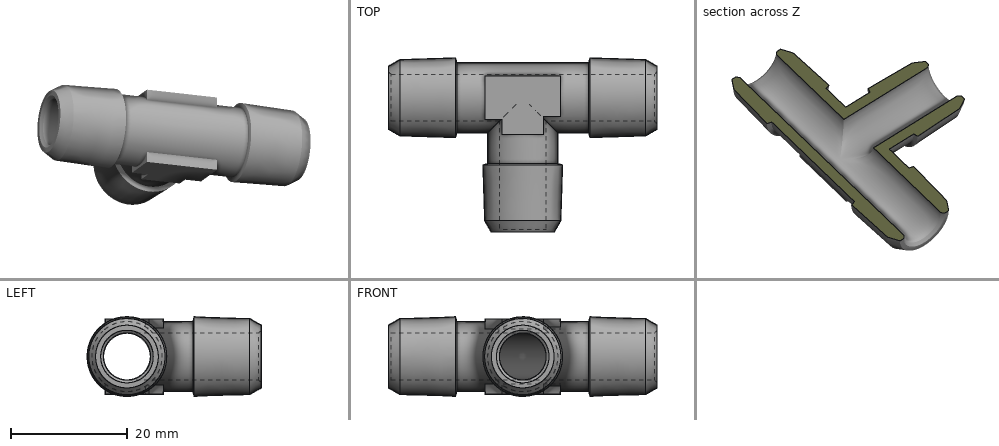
import cadquery as cq
import math


arm_length = 23.0
body_radius = 12.0 / 2
bore_radius = 8.0 / 2
bore_chamfer = 0.5

shoulder_position = 11.5
shoulder_radius = 6.82
shoulder_angle = 15.0
taper_per_length = 1 / 32
tip_chamfer_length = 2.0
tip_chamfer_angle = 30.0

pad_half_height = 6.45
pad_half_width = 6.45
pad_half_depth = 3.75
pad_stem_half_width = 3.53
pad_stem_reach = 6.25
pad_right_reach = 3.2


def collar_profile():
    """Half section of one arm; local x is the radius and local y runs along the arm."""
    tip_start = arm_length - tip_chamfer_length
    tip_start_radius = shoulder_radius - taper_per_length * (tip_start - shoulder_position)
    tip_radius = tip_start_radius - tip_chamfer_length * math.tan(math.radians(tip_chamfer_angle))
    shoulder_step = shoulder_radius - body_radius
    shoulder_start = shoulder_position - shoulder_step * math.tan(math.radians(shoulder_angle))
    return [
        (0, 0),
        (body_radius, 0),
        (body_radius, shoulder_start),
        (shoulder_radius, shoulder_position),
        (tip_start_radius, tip_start),
        (tip_radius, arm_length),
        (0, arm_length),
    ]


def bore_profile():
    """Half section of one bore with its countersunk mouth."""
    return [
        (0, 0),
        (bore_radius, 0),
        (bore_radius, arm_length - bore_chamfer),
        (bore_radius + bore_chamfer, arm_length),
        (0, arm_length),
    ]


def revolve_along_y(profile):
    return cq.Workplane("XY").polyline(profile).close().revolve(360, (0, 0, 0), (0, 1, 0))


def tee(profile):
    """Union of the revolved profile pointing along +X, -X and -Y."""
    arm = revolve_along_y(profile)
    arms = [arm.rotate((0, 0, 0), (0, 0, 1), angle) for angle in (-90, 90, 180)]
    return arms[0].union(arms[1]).union(arms[2])


def pads():
    """T-shaped block through the junction; only its top and bottom stand proud of the arms."""
    outline = [
        (-pad_half_width, pad_half_depth),
        (pad_half_width, pad_half_depth),
        (pad_half_width, -pad_right_reach),
        (pad_stem_half_width, -pad_right_reach),
        (pad_stem_half_width, -pad_stem_reach),
        (-pad_stem_half_width, -pad_stem_reach),
        (-pad_stem_half_width, -pad_half_depth),
        (-pad_half_width, -pad_half_depth),
    ]
    return cq.Workplane("XY").polyline(outline).close().extrude(pad_half_height, both=True)


result = tee(collar_profile()).union(pads()).cut(tee(bore_profile()))